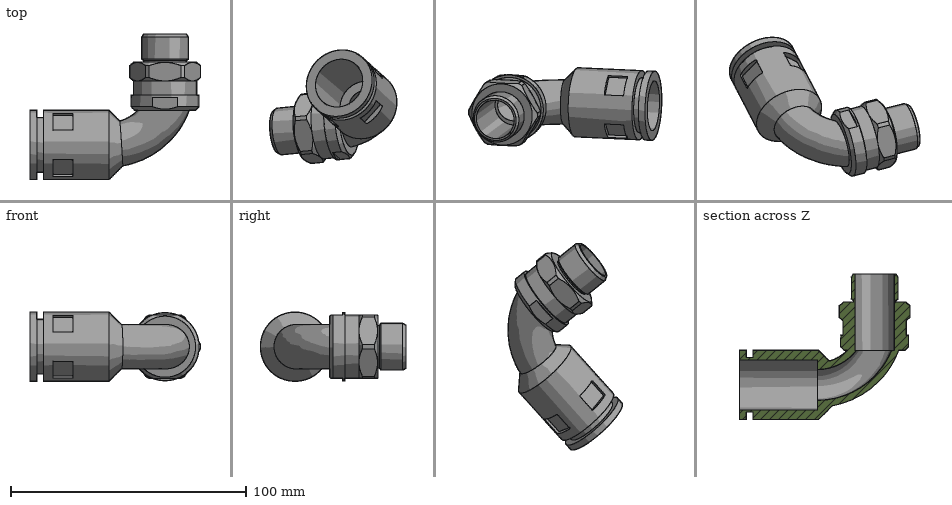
import cadquery as cq
import math


length_x = 72.5
length_y = 62.0

socket_diameter = 29.5
groove_diameter = 23.4
socket_bore_diameter = 21.2
release_ring_end_x = 2.9
groove_end_x = 5.7
socket_end_x = 33.65
taper_length = 6.0
socket_radius = socket_diameter / 2

window_count = 4
window_start_x = 9.7
window_length = 8.5
window_width = 10.0
window_floor_distance = 12.6
window_corner_radius = 0.35
window_cutter_overshoot = 0.7

nut_across_flats = 27.0
nut_corner_diameter = 30.15
nut_front_chamfer = 1.6
nut_back_chamfer = 1.45
nut_front_face_diameter = 26.4

thread_diameter = 20.0
neck_diameter = 18.2
thread_tip_chamfer = 1.45
thread_runout = 0.6
swivel_bore_diameter = 16.5

flange_diameter = 29.0
flange_chamfer = 1.5
flange_lip = 0.95

swivel_axis_x = length_x - nut_corner_diameter / 2
tip_y = length_y - socket_radius
thread_start_y = 36.2
nut_front_y = 35.3
nut_back_y = 27.2
flange_front_y = 21.2
flange_back_y = 14.7

elbow_diameter = 18.9
elbow_bore_diameter = 13.0
elbow_start_x = 33.1
elbow_run = swivel_axis_x - elbow_start_x
elbow_bend_radius = (elbow_run**2 + flange_back_y**2) / (2 * flange_back_y)
elbow_sweep = 90.0


def turned_about_x(profile):
    """Solid turned about the X axis from (x, radius) points."""
    return cq.Workplane("XY").polyline(profile).close().revolve(360, (0, 0), (1, 0))


def turned_about_swivel(profile):
    """Solid turned about the swivel axis from (radius, y) points."""
    outline = cq.Workplane("XY", origin=(swivel_axis_x, 0, 0)).polyline(profile).close()
    return outline.revolve(360, (0, 0), (0, 1))


def elbow_rod(diameter):
    """Round bar along the elbow arc, ended by the flange back plane."""
    bar = (
        cq.Workplane("YZ", origin=(elbow_start_x, 0, 0))
        .circle(diameter / 2)
        .revolve(elbow_sweep, (elbow_bend_radius, 0), (elbow_bend_radius, 1))
    )
    trim = cq.Workplane("XY").box(2 * length_x, length_y, 2 * socket_diameter)
    return bar.intersect(trim.translate((length_x / 2, flange_back_y - length_y / 2, 0)))


def make_socket():
    groove_radius = groove_diameter / 2
    return turned_about_x([
        (0, 0),
        (0, socket_radius),
        (release_ring_end_x, socket_radius),
        (release_ring_end_x, groove_radius),
        (groove_end_x, groove_radius),
        (groove_end_x, socket_radius),
        (socket_end_x, socket_radius),
        (socket_end_x + taper_length, socket_radius - taper_length),
        (socket_end_x + taper_length, 0),
    ])


def cut_windows(body):
    cutter_height = socket_radius - window_floor_distance + window_cutter_overshoot
    cutter = (
        cq.Workplane("XY")
        .box(window_length, window_width, cutter_height, centered=(False, True, False))
        .edges("|Z")
        .fillet(window_corner_radius)
        .translate((window_start_x, 0, window_floor_distance))
    )
    step = 360 / window_count
    for index in range(window_count):
        body = body.cut(cutter.rotate((0, 0, 0), (1, 0, 0), step * (index + 0.5)))
    return body


def make_nut():
    corner_radius = nut_corner_diameter / 2
    hexagon = (
        cq.Workplane("XZ", origin=(swivel_axis_x, nut_back_y, 0))
        .polygon(6, nut_across_flats / math.cos(math.pi / 6))
        .extrude(nut_back_y - nut_front_y)
    )
    chamfered_blank = turned_about_swivel([
        (0, nut_back_y),
        (nut_across_flats / 2, nut_back_y),
        (corner_radius, nut_back_y + nut_back_chamfer),
        (corner_radius, nut_front_y - nut_front_chamfer),
        (nut_front_face_diameter / 2, nut_front_y),
        (0, nut_front_y),
    ])
    return hexagon.intersect(chamfered_blank)


def make_thread():
    thread_radius = thread_diameter / 2
    neck_radius = neck_diameter / 2
    return turned_about_swivel([
        (0, nut_back_y),
        (neck_radius, nut_back_y),
        (neck_radius, thread_start_y - thread_runout / 2),
        (thread_radius, thread_start_y + thread_runout / 2),
        (thread_radius, tip_y - thread_tip_chamfer),
        (neck_radius, tip_y),
        (0, tip_y),
    ])


def make_collar():
    collar_radius = nut_across_flats / 2
    flange_radius = flange_diameter / 2
    collar = turned_about_swivel([
        (0, flange_back_y),
        (flange_radius - flange_chamfer, flange_back_y),
        (flange_radius, flange_back_y + flange_chamfer),
        (flange_radius, flange_front_y),
        (collar_radius, flange_front_y),
        (collar_radius, nut_back_y),
        (0, nut_back_y),
    ])
    flat_depth = flange_front_y - flange_lip - flange_back_y
    flat_cutter = cq.Workplane("XY").box(
        flange_diameter, flat_depth, flange_diameter, centered=(True, False, False)
    )
    for side in (0, 180):
        cutter = flat_cutter.translate((0, 0, collar_radius)).rotate((0, 0, 0), (0, 1, 0), side)
        collar = collar.cut(cutter.translate((swivel_axis_x, flange_back_y, 0)))
    return collar


outside = cut_windows(make_socket())
for piece in (elbow_rod(elbow_diameter), make_collar(), make_nut(), make_thread()):
    outside = outside.union(piece)

socket_bore = cq.Workplane("YZ").circle(socket_bore_diameter / 2).extrude(elbow_start_x)
swivel_bore = (
    cq.Workplane("XZ", origin=(swivel_axis_x, flange_back_y, 0))
    .circle(swivel_bore_diameter / 2)
    .extrude(flange_back_y - tip_y)
)
result = outside.cut(socket_bore).cut(elbow_rod(elbow_bore_diameter)).cut(swivel_bore)